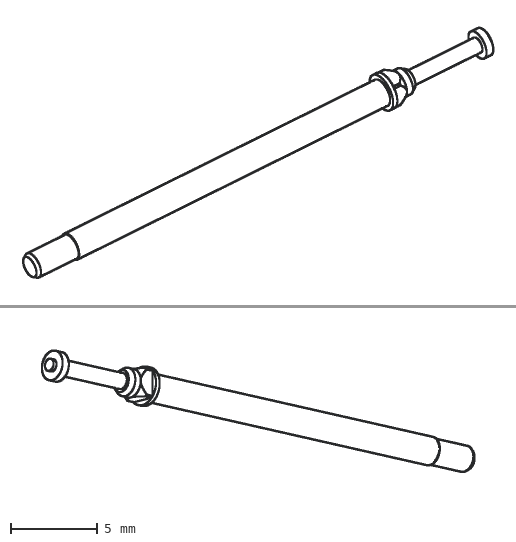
import cadquery as cq

total_length = 33.3

nub_length = 0.23
head_length = 0.5
stem_length = 5.0
collar_length = 0.75
square_length = 0.93
flange_length = 0.3
tail_length = 2.95

nub_diameter = 0.73
head_diameter = 1.75
stem_diameter = 0.95
collar_diameter = 1.7
body_diameter = 1.7
flange_diameter = 2.3
tail_diameter = 1.55

collar_chamfer_length = 0.33
collar_chamfer_depth = 0.2
tail_chamfer_length = 0.23
tail_chamfer_depth = 0.13
square_width = 1.7
square_corner_diameter = 2.25
lead_in_length = 0.45

tip_y = total_length / 2
tail_end_y = -total_length / 2
head_y = tip_y - nub_length
stem_y = head_y - head_length
collar_y = stem_y - stem_length
square_y = collar_y - collar_length
flange_y = square_y - square_length
body_y = flange_y - flange_length
tail_y = tail_end_y + tail_length


def cylinder(diameter, start_y, end_y):
    """Solid cylinder on the Y axis, from start_y down to end_y."""
    return cq.Workplane("XZ", origin=(0, start_y, 0)).circle(diameter / 2).extrude(start_y - end_y)


def collar():
    """Short round collar with a long chamfer facing the stem."""
    blank = cylinder(collar_diameter, collar_y, square_y)
    return blank.faces(">Y").edges().chamfer(collar_chamfer_length, collar_chamfer_depth)


def square_section():
    """Four wrench flats, with the corners turned round and coned toward the collar."""
    turned_envelope = (
        cq.Workplane("XY")
        .moveTo(0, square_y)
        .lineTo(collar_diameter / 2, square_y)
        .lineTo(square_corner_diameter / 2, square_y - lead_in_length)
        .lineTo(square_corner_diameter / 2, flange_y)
        .lineTo(0, flange_y)
        .close()
        .revolve(360, (0, 0, 0), (0, 1, 0))
    )
    square_bar = (
        cq.Workplane("XZ", origin=(0, square_y, 0))
        .rect(square_width, square_width)
        .extrude(square_length)
    )
    return square_bar.intersect(turned_envelope)


def tail():
    """Reduced tail with a chamfered end."""
    blank = cylinder(tail_diameter, tail_y, tail_end_y)
    return blank.faces("<Y").edges().chamfer(tail_chamfer_length, tail_chamfer_depth)


result = (
    cylinder(nub_diameter, tip_y, head_y)
    .union(cylinder(head_diameter, head_y, stem_y))
    .union(cylinder(stem_diameter, stem_y, collar_y))
    .union(collar())
    .union(square_section())
    .union(cylinder(flange_diameter, flange_y, body_y))
    .union(cylinder(body_diameter, body_y, tail_y))
    .union(tail())
)